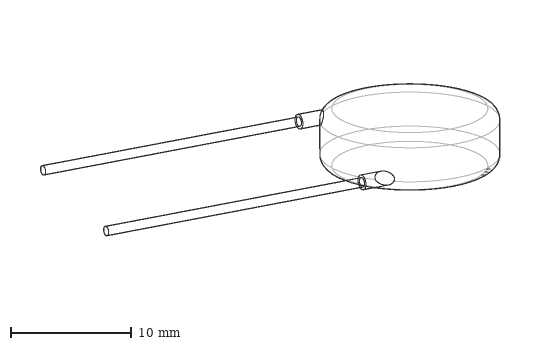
import cadquery as cq

total_length = 40.2
disc_diameter = 15.0
disc_height = 5.0
edge_radius = 1.0

lead_spacing = 10.0
lead_offset = 2.55
lead_diameter = 0.8
stub_diameter = 1.25
stub_overhang = 0.25

disc_radius = disc_diameter / 2
stub_end = disc_radius + stub_overhang
lead_length = total_length - disc_diameter - stub_overhang

lead_axes = [
    (-lead_spacing / 2, lead_offset / 2),
    (lead_spacing / 2, -lead_offset / 2),
]


def rod(axis, start, diameter, length):
    """Round rod running toward -Y, starting at a given distance from the disc axis."""
    x, z = axis
    return (
        cq.Workplane("XZ", origin=(x, -start, z))
        .circle(diameter / 2)
        .extrude(length)
    )


def make_coated_body():
    """Disc with rounded rims, fused with the stubs of coating around the lead exits."""
    body = (
        cq.Workplane("XY", origin=(0, 0, -disc_height / 2))
        .circle(disc_radius)
        .extrude(disc_height)
        .faces("|Z")
        .edges()
        .fillet(edge_radius)
    )
    for axis in lead_axes:
        body = body.union(rod(axis, 0, stub_diameter, stub_end))
    return body.solids()


def make_lead(axis):
    """Straight wire that starts at the end face of its stub."""
    return rod(axis, stub_end, lead_diameter, lead_length)


coated_body = make_coated_body()

leads = []
for lead_axis in lead_axes:
    leads.append(make_lead(lead_axis).val())

result = cq.Compound.makeCompound([coated_body.val(), *leads])